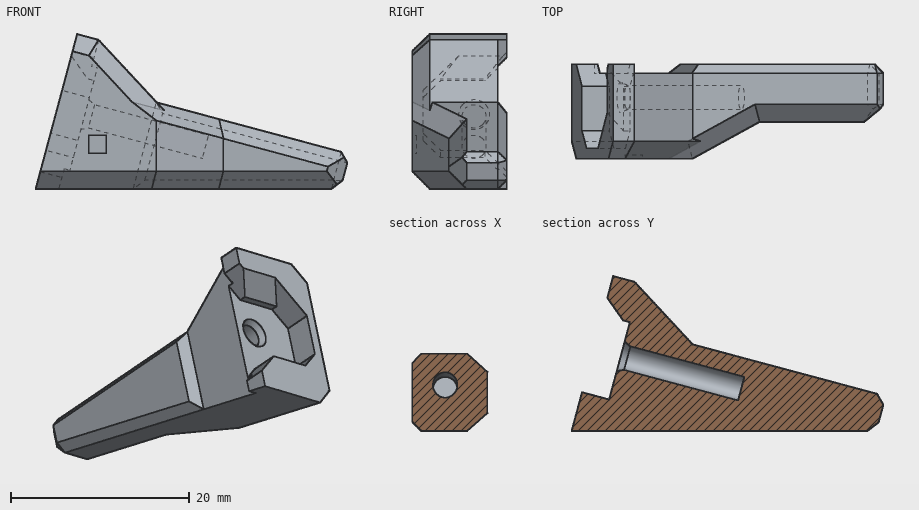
import cadquery as cq
import math

length = 35.0
width = 10.65
height = 17.4

lean = 15.0
sin_lean = math.sin(math.radians(lean))
cos_lean = math.cos(math.radians(lean))
tan_lean = sin_lean / cos_lean

large_bevel = 2.0
small_bevel = 1.0
margin = 3.5

head_height = height / cos_lean
rim_depth = 2.5
rear_slope_end = 10.6
gap_start_y = width - small_bevel
handle_start = 10.55

handle_top = 12.9
handle_end = (length - (handle_top - small_bevel) * sin_lean) / cos_lean
bend_x = 13.55
straight_x = 21.07
handle_y = 4.13

pocket_depth = 3.15
pocket_bottom = 4.5
pocket_top = 13.48
pocket_wall_y = 1.2
pocket_flare_y = 8.15
ramp_rise = large_bevel
ramp_depth = 2.38

hole_diameter = 2.7
hole_mouth_diameter = 3.45
hole_y = 6.93
hole_height = 9.52
hole_depth = 14.0
hole_cone_depth = 0.77

recess_size = 2.0
recess_x = 5.95
recess_z = 4.02
recess_depth = 0.5


def leaning(body):
    """Turn a solid from the leaning frame into the part's axes."""
    return body.rotate((0, 0, 0), (0, 1, 0), lean)


def side_prism(points, y_start, y_end):
    """Extrude an XZ outline from y_start to y_end."""
    return cq.Workplane("XZ", origin=(0, y_start, 0)).polyline(points).close().extrude(y_start - y_end)


def plan_prism(points, z_start, z_end):
    """Extrude an XY outline from z_start to z_end."""
    return cq.Workplane("XY", origin=(0, 0, z_start)).polyline(points).close().extrude(z_end - z_start)


def front_prism(points, x_start, x_end):
    """Extrude a YZ outline from x_start to x_end."""
    return cq.Workplane("YZ", origin=(x_start, 0, 0)).polyline(points).close().extrude(x_end - x_start)


def bevelled_bottom(outline):
    """Upright block on an XY outline, bevelled under its first side."""
    (x_0, y_0), (x_1, y_1) = outline[:2]
    first_bottom_edge = cq.selectors.NearestToPointSelector(((x_0 + x_1) / 2, (y_0 + y_1) / 2, 0))
    return plan_prism(outline, 0, height + margin).edges(first_bottom_edge).chamfer(large_bevel)


def slant_point(x):
    """Point of the slanted -Y side at x."""
    return (x, (x - bend_x) * handle_y / (straight_x - bend_x))


def make_envelope():
    """Block over the whole plan on the flat -Y side, bevelled along the bottom."""
    far_x = length + margin
    flat_side = [(-margin, 0), (far_x, 0), (far_x, width), (-margin, width)]
    return bevelled_bottom(flat_side)


def make_head():
    """Leaning block with a steep rear slope, bevelled on the -Y side."""
    slope = (handle_top - head_height) / (rear_slope_end - rim_depth)
    rear = rear_slope_end + margin
    rear_height = head_height + slope * (rear - rim_depth)
    outline = [
        (0, -margin),
        (0, head_height),
        (rim_depth, head_height),
        (rear, rear_height),
        (rear, -margin),
    ]
    block = side_prism(outline, 0, width)
    upper_edges = cq.selectors.BoxSelector(
        (-0.35, -0.35, rear_height + 0.35), (rear - 0.35, 0.35, head_height + 0.35)
    )
    head = block.edges(upper_edges).chamfer(large_bevel)
    rear_gap = cq.Workplane("XY").box(length, width, 2 * length, centered=(False, False, True))
    head = leaning(head.cut(rear_gap.translate((rim_depth, gap_start_y, 0))))
    slant_far_x = straight_x + margin
    slanted_side = [slant_point(-margin), slant_point(slant_far_x), (slant_far_x, width), (-margin, width)]
    return head.intersect(bevelled_bottom(slanted_side))


def make_handle_block(side_start, side_end):
    """Sloping block on one straight stretch of the -Y side, bevelled above and below."""
    (x_0, y_0), (x_1, y_1) = side_start, side_end
    outline = [side_start, side_end, (x_1, width), (x_0, width)]

    def top_z(x):
        return handle_top / cos_lean - x * tan_lean

    profile = [(x_0, 0), (x_1, 0), (x_1, top_z(x_1)), (x_0, top_z(x_0))]
    block = plan_prism(outline, 0, height).intersect(side_prism(profile, -length, length))
    middle_x = (x_0 + x_1) / 2
    middle_y = (y_0 + y_1) / 2
    upper_edge = cq.selectors.NearestToPointSelector((middle_x, middle_y, top_z(middle_x)))
    lower_edge = cq.selectors.NearestToPointSelector((middle_x, middle_y, 0))
    upper_bevelled = block.edges(upper_edge).chamfer(large_bevel)
    lower_bevelled = block.edges(lower_edge).chamfer(large_bevel)
    return upper_bevelled.intersect(lower_bevelled)


def make_handle():
    """Sloping handle with a bent -Y side and bevelled edges."""
    slanted = make_handle_block(slant_point(rim_depth), slant_point(straight_x + margin))
    straight = make_handle_block((bend_x, handle_y), (length + 0.35, handle_y))
    body = slanted.union(straight)

    profile = [(0, 0), (0, handle_top), (handle_end, handle_top), (handle_end, handle_end * tan_lean)]
    shell = side_prism(profile, -length, width)
    far_edges = shell.faces(">X or >Y").edges("(not <Y) and (not <X)")
    shell = far_edges.chamfer(small_bevel)

    far_x = handle_end + margin
    end_plan = [
        (0, -length),
        (handle_end - large_bevel, -length),
        (handle_end - large_bevel, handle_y),
        (far_x, handle_y + far_x - handle_end + large_bevel),
        (far_x, width),
        (handle_start + small_bevel, width),
        (handle_start, gap_start_y),
        (0, gap_start_y),
    ]
    body = body.intersect(leaning(shell))
    return body.intersect(leaning(plan_prism(end_plan, -length, length)))


def make_pocket():
    """Faceted pocket flaring out through the +Y side, with a ramp under its upper rim."""
    flare = width + margin - pocket_flare_y
    wall_edge_y = pocket_wall_y + large_bevel
    outline = [
        (pocket_wall_y, pocket_bottom + large_bevel),
        (wall_edge_y, pocket_bottom),
        (pocket_flare_y, pocket_bottom),
        (pocket_flare_y + flare, pocket_bottom - flare),
        (pocket_flare_y + flare, pocket_top + flare),
        (pocket_flare_y, pocket_top),
        (wall_edge_y, pocket_top),
        (pocket_wall_y, pocket_top - large_bevel),
    ]
    ramp_outline = [
        (wall_edge_y, pocket_top),
        (pocket_flare_y, pocket_top),
        (pocket_flare_y + ramp_rise, pocket_top + ramp_rise),
        (wall_edge_y + ramp_rise, pocket_top + ramp_rise),
    ]
    ramp_profile = [(0, pocket_top), (ramp_depth, pocket_top), (0, pocket_top + ramp_rise)]
    ramp = front_prism(ramp_outline, 0, pocket_depth).intersect(side_prism(ramp_profile, 0, width))
    return leaning(front_prism(outline, 0, pocket_depth).union(ramp))


def make_hole():
    """Blind hole with a conical mouth in the pocket floor."""
    radius = hole_diameter / 2
    profile = [
        (0, 0),
        (0, hole_mouth_diameter / 2),
        (hole_cone_depth, radius),
        (hole_depth, radius),
        (hole_depth, 0),
    ]
    hole = cq.Workplane("XY").polyline(profile).close().revolve(360, (0, 0, 0), (1, 0, 0))
    return leaning(hole.translate((pocket_depth, hole_y, hole_height)))


def make_recess():
    """Shallow square recess in the -Y side."""
    recess = cq.Workplane("XY").box(recess_size, recess_depth, recess_size, centered=False)
    return recess.translate((recess_x, 0, recess_z))


body = make_head().union(make_handle()).intersect(make_envelope())
result = body.cut(make_pocket()).cut(make_hole()).cut(make_recess())